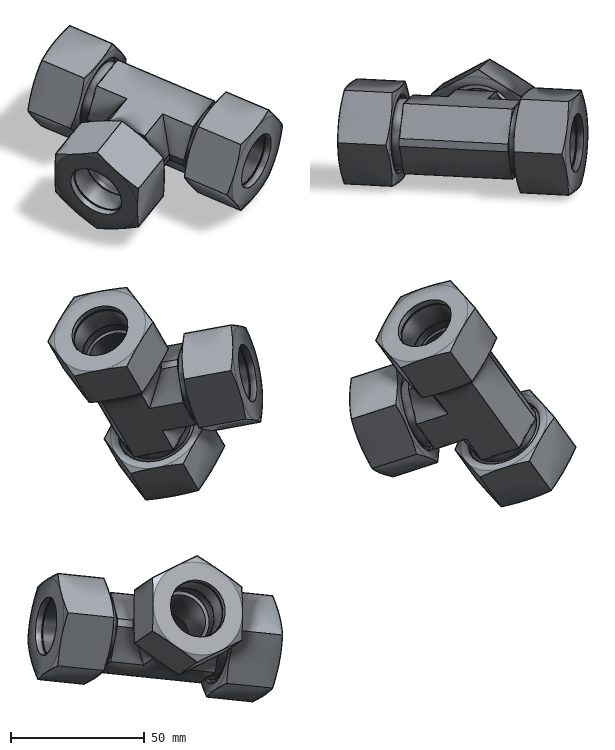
import cadquery as cq
import math

branch_angle = -90
port_angles = (0, 180, branch_angle)
branch_extra_length = 0.9
nut_outer_end = 44.0
forging_end = 21.0
neck_end = 24.5
run_end_face = 35.0
socket_floor = 27.5

forging_flats = 27.0
forging_edge_flat = 3.0
bore_diameter = 19.0
tube_diameter = 22.0
neck_diameter = 27.0
thread_diameter = 30.0
thread_runout_angle = 45.0
cone_half_angle = 12.0
cone_mouth_diameter = 24.3

nut_flats = 36.0
nut_length = 20.0
nut_chamfer_angle = 15.0
nut_lip_length = 2.5
run_nut_turn = 0
branch_nut_turn = 30

run_ring_front = 30.8
branch_ring_front = 32.4
ring_rear_gap = 0.5
ring_collar_diameter = 27.0

hexagon_ratio = 1 / math.cos(math.radians(30))
hexagon_slope = math.tan(math.radians(60))
cone_slope = math.tan(math.radians(cone_half_angle))
tube_radius = tube_diameter / 2
thread_radius = thread_diameter / 2
cone_mouth_radius = cone_mouth_diameter / 2
cone_length = (cone_mouth_radius - tube_radius) / cone_slope
nut_inner_end = nut_outer_end - nut_length
nut_seat_end = nut_outer_end - nut_lip_length


def revolve_about_x(profile):
    """Turn an (x, radius) outline about the X axis."""
    return cq.Workplane("XY").polyline(profile).close().revolve(360, (0, 0, 0), (1, 0, 0))


def plug(outline):
    """Solid of revolution under an open (x, radius) outline."""
    return revolve_about_x([(outline[0][0], 0), *outline, (outline[-1][0], 0)])


def place(shape, angle):
    """Swing a part built along +X round to the port at the given angle."""
    return shape.rotate((0, 0, 0), (0, 0, 1), angle)


def arm_length(angle):
    """Distance from the tee centre to the threaded end face at one port."""
    return run_end_face + (branch_extra_length if angle == branch_angle else 0)


def forging_section():
    """Hexagon with its two sharp side corners cut off to narrow flats."""
    half_height = forging_flats / 2
    half_edge = forging_edge_flat / 2
    corner_reach = half_height * hexagon_ratio
    top_reach = corner_reach - half_height / hexagon_slope
    edge_reach = corner_reach - half_edge / hexagon_slope
    right = [(edge_reach, -half_edge), (edge_reach, half_edge), (top_reach, half_height)]
    left = [(-y, z) for y, z in reversed(right)]
    lower_left = (-top_reach, -half_height)
    lower_right = (top_reach, -half_height)
    return cq.Workplane("YZ").polyline([*right, *left, lower_left, lower_right]).close()


def threaded_end(end):
    """Neck and male thread that stand out of one end of the forging."""
    neck_radius = neck_diameter / 2
    runout_length = (thread_radius - neck_radius) / math.tan(math.radians(thread_runout_angle))
    return plug([
        (forging_end, neck_radius),
        (neck_end, neck_radius),
        (neck_end + runout_length, thread_radius),
        (end, thread_radius),
    ])


def port_cavity(end):
    """Through bore, tube socket and sealing cone of one port."""
    return plug([
        (0, bore_diameter / 2),
        (socket_floor, bore_diameter / 2),
        (socket_floor, tube_radius),
        (end - cone_length, tube_radius),
        (end, cone_mouth_radius),
    ])


def make_tee():
    """Forged tee with a threaded, socketed end at each port."""
    run = forging_section().extrude(forging_end, both=True)
    branch = forging_section().extrude(forging_end)
    tee = run.union(place(branch, branch_angle))
    for angle in port_angles:
        tee = tee.union(place(threaded_end(arm_length(angle)), angle))
    for angle in port_angles:
        tee = tee.cut(place(port_cavity(arm_length(angle)), angle))
    return tee


def make_nut(hexagon_turn):
    """Union nut along +X, its hexagon turned about the axis by the given angle."""
    corners = nut_flats * hexagon_ratio
    blank = (
        cq.Workplane("YZ").workplane(offset=nut_inner_end)
        .polygon(6, corners).extrude(nut_length)
        .rotate((0, 0, 0), (1, 0, 0), hexagon_turn)
    )
    face_radius = nut_flats / 2
    corner_radius = corners / 2
    chamfer_length = (corner_radius - face_radius) * math.tan(math.radians(nut_chamfer_angle))
    envelope = plug([
        (nut_inner_end, face_radius),
        (nut_inner_end + chamfer_length, corner_radius),
        (nut_outer_end - chamfer_length, corner_radius),
        (nut_outer_end, face_radius),
    ])
    seat_start = nut_seat_end - (thread_radius - tube_radius)
    hole = plug([
        (nut_inner_end, thread_radius),
        (seat_start, thread_radius),
        (nut_seat_end, tube_radius),
        (nut_outer_end, tube_radius),
    ])
    return blank.intersect(envelope).cut(hole)


def make_ring(ring_front, seat_face):
    """Cutting ring held between the cone of the body and the seat of the nut."""
    collar_radius = ring_collar_diameter / 2
    front_radius = cone_mouth_radius - (seat_face - ring_front) * cone_slope
    rear = nut_seat_end - ring_rear_gap
    rear_radius = tube_radius + ring_rear_gap
    shoulder = rear - (collar_radius - rear_radius)
    return revolve_about_x([
        (ring_front, tube_radius),
        (ring_front, front_radius),
        (seat_face, cone_mouth_radius),
        (seat_face, collar_radius),
        (shoulder, collar_radius),
        (rear, rear_radius),
        (rear, tube_radius),
    ])


tee = make_tee()
nuts = []
rings = []
for angle in port_angles:
    hexagon_turn = branch_nut_turn if angle == branch_angle else run_nut_turn
    ring_front = branch_ring_front if angle == branch_angle else run_ring_front
    nuts.append(place(make_nut(hexagon_turn), angle))
    rings.append(place(make_ring(ring_front, arm_length(angle)), angle))

result = cq.Compound.makeCompound([
    tee.val(),
    *[nut.val() for nut in nuts],
    *[ring.val() for ring in rings],
])